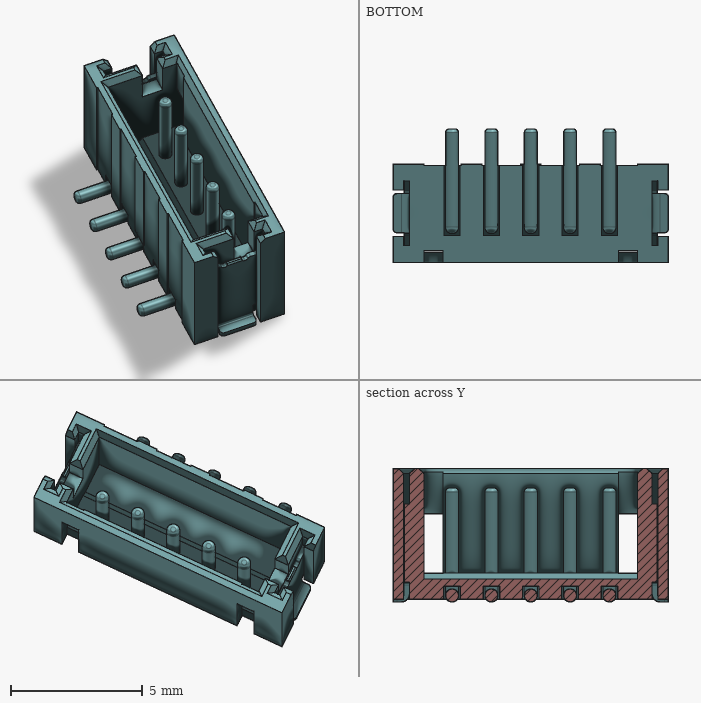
import cadquery as cq

WIDTH = 10.5
DEPTH = 3.75
HEIGHT = 5.0

CAVITY_HALF_WIDTH = 4.06
CAVITY_FRONT = 0.48
CAVITY_BACK = 3.3
PIN_FLOOR_Z = 1.0
LEDGE_EDGE_Y = 1.91
LEAD_IN_DEPTH = 0.2
LEAD_IN = 0.2
PARTITION_LEAD_IN = 0.22

WINDOW_INNER_X = 3.35
WINDOW_TOP_Z = 3.26
WINDOW_RELIEF = 0.05

CLIP_INNER_X = 4.63
CLIP_THICKNESS = 0.2
CLIP_CLEARANCE = 0.02
CLIP_OUTER_X = CLIP_INNER_X + CLIP_THICKNESS
SLOT_OUTER_X = CLIP_OUTER_X + CLIP_CLEARANCE
CLIP_FRONT = 0.64
CLIP_BACK = 3.1
OPENING_FRONT = 0.985
OPENING_BACK = 2.75
NOTCH_FLOOR_Z = 3.5

PANEL_RECESS = 0.05
STRIP_WIDTH = 0.8

PIN_COUNT = 5
PITCH = 1.5
PIN_DIAMETER = 0.5
PIN_TIP_FILLET = 0.15
PIN_Y = 2.4
PIN_TOP_Z = 4.25
PIN_TIP_Y = -1.35
STANDOFF = 0.1
PIN_TAIL_Z = PIN_DIAMETER / 2 - STANDOFF
CHANNEL_WIDTH = 0.62
CHANNEL_HEIGHT = 0.5
CHANNEL_BACK = PIN_Y + CHANNEL_WIDTH / 2

STRIP_CENTRES = [-1.5 * PITCH, 0, 1.5 * PITCH]

CLIP_MID_Y = (OPENING_FRONT + OPENING_BACK) / 2
CLIP_TOP_Z = 3.64
CLIP_CORNER_FILLET = 0.1
CLIP_NOTCH_Z = 3.51
CLIP_NOTCH_OUTER = 0.66
CLIP_NOTCH_FLOOR_OUTER = 0.43
CLIP_NOTCH_FLOOR_INNER = 0.35
CLIP_NOTCH_FLOOR_FILLET = 0.08
CLIP_TONGUE_HALF = 0.3
CLIP_TONGUE_Z = 3.62
CLIP_TONGUE_BEVEL = 0.06
FOOT_HALF_LENGTH = 0.75
FOOT_SHOULDER_Z = 0.65
FOOT_CORNER_FILLET = 0.15
FOOT_SHOULDER_FILLET = 0.1
BEND_INNER_RADIUS = 0.1
BEND_OUTER_RADIUS = BEND_INNER_RADIUS + CLIP_THICKNESS


def block(x0, x1, y0, y1, z0, z1):
    """Axis-aligned box between two corners."""
    return cq.Workplane("XY").box(x1 - x0, y1 - y0, z1 - z0, centered=False).translate((x0, y0, z0))


def rectangle_wire(x0, x1, y0, y1, z):
    corners = [(x0, y0, z), (x1, y0, z), (x1, y1, z), (x0, y1, z)]
    return cq.Wire.makePolygon([cq.Vector(*corner) for corner in corners], close=True)


def flared_block(x0, x1, y0, y1, z0, flare_x0=0, flare_x1=0, flare_y0=0, flare_y1=0):
    """Cutter reaching the rim, with its sides flaring outwards over the lead-in depth."""
    throat = rectangle_wire(x0, x1, y0, y1, HEIGHT - LEAD_IN_DEPTH)
    mouth = rectangle_wire(x0 - flare_x0, x1 + flare_x1, y0 - flare_y0, y1 + flare_y1, HEIGHT)
    flare = cq.Solid.makeLoft([throat, mouth], True)
    return block(x0, x1, y0, y1, z0, HEIGHT - LEAD_IN_DEPTH).union(cq.Workplane(flare))


def both_sides(shape):
    """The shape together with its mirror image across x = 0."""
    return shape.union(shape.mirror("YZ"))


def cut_cavity(body):
    cavity = flared_block(
        -CAVITY_HALF_WIDTH, CAVITY_HALF_WIDTH, CAVITY_FRONT, CAVITY_BACK, PIN_FLOOR_Z,
        PARTITION_LEAD_IN, PARTITION_LEAD_IN, LEAD_IN, LEAD_IN,
    )
    lower_z = PIN_FLOOR_Z - PARTITION_LEAD_IN
    trough = (
        cq.Workplane("YZ")
        .moveTo(CAVITY_FRONT, PIN_FLOOR_Z)
        .lineTo(CAVITY_FRONT, lower_z)
        .lineTo(LEDGE_EDGE_Y - PARTITION_LEAD_IN, lower_z)
        .lineTo(LEDGE_EDGE_Y, PIN_FLOOR_Z)
        .close()
        .extrude(CAVITY_HALF_WIDTH, both=True)
    )
    return body.cut(cavity).cut(trough)


def cut_back_windows(body):
    window = block(WINDOW_INNER_X, CAVITY_HALF_WIDTH, CAVITY_BACK, DEPTH, 0, WINDOW_TOP_Z)
    relief_back = CAVITY_BACK + WINDOW_RELIEF
    relief = block(WINDOW_INNER_X, CAVITY_HALF_WIDTH, CAVITY_BACK, relief_back, WINDOW_TOP_Z, HEIGHT)
    return body.cut(both_sides(window.union(relief)))


def cut_side_slots(body):
    slot = flared_block(
        CLIP_INNER_X, SLOT_OUTER_X, CLIP_FRONT, CLIP_BACK, 0,
        PARTITION_LEAD_IN, LEAD_IN, LEAD_IN, LEAD_IN,
    )
    opening = flared_block(
        CLIP_INNER_X, WIDTH / 2, OPENING_FRONT, OPENING_BACK, 0,
        flare_y0=LEAD_IN, flare_y1=LEAD_IN,
    )
    notch = flared_block(
        CAVITY_HALF_WIDTH, CLIP_INNER_X, LEDGE_EDGE_Y, OPENING_BACK, NOTCH_FLOOR_Z,
        flare_y0=PARTITION_LEAD_IN, flare_y1=LEAD_IN,
    )
    return body.cut(both_sides(slot)).cut(both_sides(opening)).cut(both_sides(notch))


def recess_front_panels(body):
    """Lower the front face between the end pads, leaving the strips proud."""
    panel = block(-CAVITY_HALF_WIDTH, CAVITY_HALF_WIDTH, 0, PANEL_RECESS, 0, HEIGHT)
    half_strip = STRIP_WIDTH / 2
    for x in STRIP_CENTRES:
        bottom_z = CHANNEL_HEIGHT if x == 0 else 0
        panel = panel.cut(block(x - half_strip, x + half_strip, 0, PANEL_RECESS, bottom_z, HEIGHT))
    return body.cut(panel)


def pin_positions():
    return [(index - (PIN_COUNT - 1) / 2) * PITCH for index in range(PIN_COUNT)]


def cut_pin_channels(body):
    half_width = CHANNEL_WIDTH / 2
    for x in pin_positions():
        body = body.cut(block(x - half_width, x + half_width, 0, CHANNEL_BACK, 0, CHANNEL_HEIGHT))
    return body


def make_pin(x):
    """L-shaped round pin: a vertical contact and a tail leaving through the front."""
    radius = PIN_DIAMETER / 2
    contact = (
        cq.Workplane("XY", origin=(x, PIN_Y, PIN_TAIL_Z))
        .circle(radius)
        .extrude(PIN_TOP_Z - PIN_TAIL_Z)
        .faces(">Z")
        .edges()
        .fillet(PIN_TIP_FILLET)
    )
    tail = (
        cq.Workplane("XZ", origin=(x, PIN_Y, PIN_TAIL_Z))
        .circle(radius)
        .extrude(PIN_Y - PIN_TIP_Y)
        .faces("<Y")
        .edges()
        .fillet(PIN_TIP_FILLET)
    )
    elbow = cq.Workplane("XY", origin=(x, PIN_Y, PIN_TAIL_Z)).sphere(radius)
    return contact.union(tail).union(elbow)


def fillet_cross_edge(shape, start, radius):
    """Round the edge that runs through the clip thickness from the given start point."""
    x, y, z = start
    middle = (x + CLIP_THICKNESS / 2, y, z)
    return shape.edges(cq.selectors.NearestToPointSelector(middle)).fillet(radius)


def cut_foot_shoulders(plate, bottom_z):
    """Narrow the lower end of the plate to the length of the foot, with rounded inner corners."""
    foot_front = CLIP_MID_Y - FOOT_HALF_LENGTH
    foot_back = CLIP_MID_Y + FOOT_HALF_LENGTH
    for y0, y1, corner_y in ((CLIP_FRONT, foot_front, foot_front), (foot_back, CLIP_BACK, foot_back)):
        relief = block(CLIP_INNER_X, CLIP_OUTER_X, y0, y1, bottom_z, FOOT_SHOULDER_Z)
        corner = (CLIP_INNER_X, corner_y, FOOT_SHOULDER_Z)
        plate = plate.cut(fillet_cross_edge(relief, corner, FOOT_SHOULDER_FILLET))
    return plate


def cut_clip_top(plate):
    """Two notches in the top edge with a bevelled tongue between them."""
    flank_mid = (CLIP_NOTCH_OUTER + CLIP_NOTCH_FLOOR_OUTER) / 2
    flank_mid_z = (CLIP_TOP_Z + CLIP_NOTCH_Z) / 2
    for side in (-1, 1):
        floor_inner_y = CLIP_MID_Y + side * CLIP_NOTCH_FLOOR_INNER
        tongue_edge_y = CLIP_MID_Y + side * CLIP_TONGUE_HALF
        notch = (
            cq.Workplane("YZ", origin=(CLIP_INNER_X, 0, 0))
            .moveTo(tongue_edge_y, CLIP_TOP_Z)
            .lineTo(tongue_edge_y, CLIP_TONGUE_Z)
            .lineTo(floor_inner_y, CLIP_NOTCH_Z)
            .lineTo(CLIP_MID_Y + side * CLIP_NOTCH_FLOOR_OUTER, CLIP_NOTCH_Z)
            .tangentArcPoint((CLIP_MID_Y + side * flank_mid, flank_mid_z), relative=False)
            .tangentArcPoint((CLIP_MID_Y + side * CLIP_NOTCH_OUTER, CLIP_TOP_Z), relative=False)
            .close()
            .extrude(CLIP_THICKNESS)
        )
        floor_corner = (CLIP_INNER_X, floor_inner_y, CLIP_NOTCH_Z)
        plate = plate.cut(fillet_cross_edge(notch, floor_corner, CLIP_NOTCH_FLOOR_FILLET))
    tongue_y = (CLIP_MID_Y - CLIP_TONGUE_HALF, CLIP_MID_Y + CLIP_TONGUE_HALF)
    plate = plate.cut(block(CLIP_INNER_X, CLIP_OUTER_X, *tongue_y, CLIP_TONGUE_Z, CLIP_TOP_Z))
    bevel_z = CLIP_TONGUE_Z - CLIP_TONGUE_BEVEL
    for face_x, inward in ((CLIP_INNER_X, 1), (CLIP_OUTER_X, -1)):
        bevel = (
            cq.Workplane("XZ", origin=(0, tongue_y[1], 0))
            .moveTo(face_x, bevel_z)
            .lineTo(face_x + inward * CLIP_TONGUE_BEVEL, CLIP_TONGUE_Z)
            .lineTo(face_x, CLIP_TONGUE_Z)
            .close()
            .extrude(2 * CLIP_TONGUE_HALF)
        )
        plate = plate.cut(bevel)
    return plate


def make_clip():
    """Solder clip on the +x side: an upright plate bent outwards into a foot."""
    foot_bottom = -STANDOFF
    foot_top = foot_bottom + CLIP_THICKNESS
    bend_z = foot_bottom + BEND_OUTER_RADIUS
    bend_x = CLIP_OUTER_X + BEND_INNER_RADIUS

    plate = block(CLIP_INNER_X, CLIP_OUTER_X, CLIP_FRONT, CLIP_BACK, bend_z, CLIP_TOP_Z)
    plate = plate.edges("|X and >Z").fillet(CLIP_CORNER_FILLET)
    plate = cut_clip_top(plate)
    plate = cut_foot_shoulders(plate, bend_z)

    foot = (
        cq.Workplane("XZ", origin=(0, CLIP_MID_Y + FOOT_HALF_LENGTH, 0))
        .moveTo(CLIP_INNER_X, bend_z)
        .radiusArc((bend_x, foot_bottom), -BEND_OUTER_RADIUS)
        .lineTo(WIDTH / 2, foot_bottom)
        .lineTo(WIDTH / 2, foot_top)
        .lineTo(bend_x, foot_top)
        .radiusArc((CLIP_OUTER_X, bend_z), BEND_INNER_RADIUS)
        .close()
        .extrude(2 * FOOT_HALF_LENGTH)
        .edges("|Z and >X")
        .fillet(FOOT_CORNER_FILLET)
    )
    return plate.union(foot)


housing = block(-WIDTH / 2, WIDTH / 2, 0, DEPTH, 0, HEIGHT)
housing = cut_cavity(housing)
housing = cut_back_windows(housing)
housing = cut_side_slots(housing)
housing = recess_front_panels(housing)
housing = cut_pin_channels(housing)

result = housing.union(both_sides(make_clip()))
for pin_x in pin_positions():
    result = result.union(make_pin(pin_x))